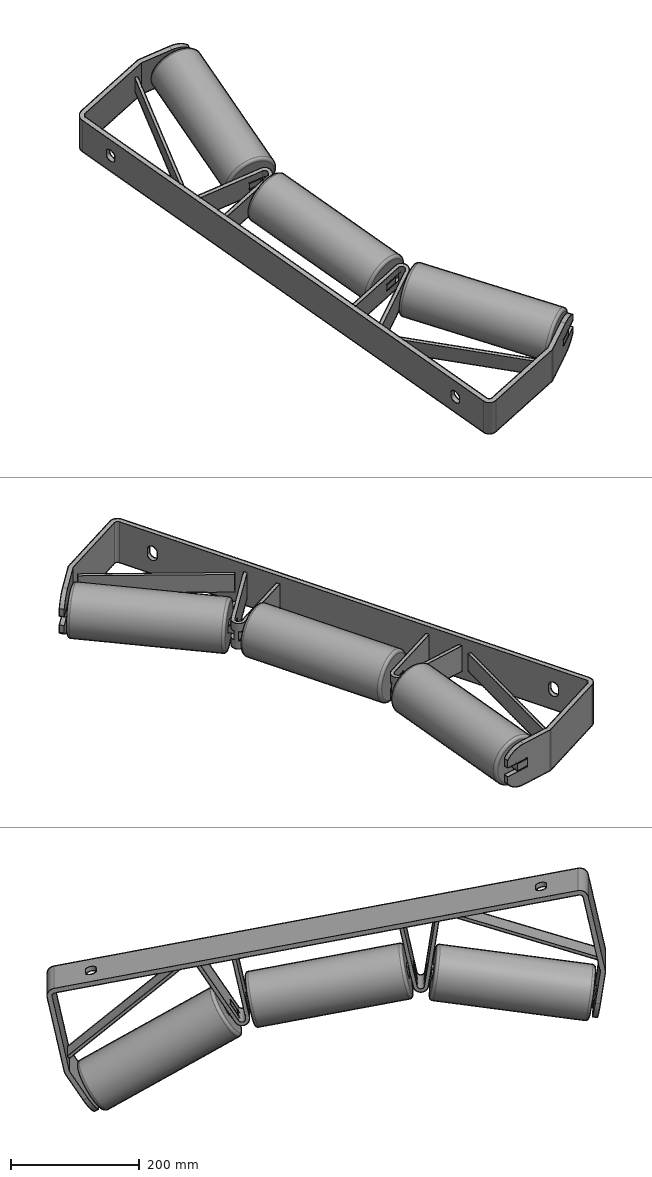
import cadquery as cq
import math


roller_length = 250.0
roller_diameter = 89.0
roller_edge_fillet = 5.0
roller_gap = 5.0
center_roller_y = 101.0
wing_roller_x = 280.0
wing_roller_y = 154.0
wing_tilt = 20.0

shaft_diameter = 21.0
shaft_flat_width = 14.0
shaft_shoulder = 3.0
slot_width = 17.0

overall_length = 860.0
strip_width = 80.0
strip_thickness = 8.0
base_bend_radius = 14.0
wing_bend_radius = 9.0
wing_plate_reach = 30.0
wing_arc_drop = 3.0

bracket_width = 50.0
bracket_thickness = 6.0
bracket_bend_radius = 12.0

brace_width = 34.0
brace_thickness = 5.0
brace_angle = 30.0
brace_top_y = 130.0
brace_weld_depth = 0.4

mount_slot_spacing = 715.5
mount_slot_width = 17.0
mount_slot_length = 27.5

half_length = overall_length / 2
half_roller = roller_length / 2
roller_radius = roller_diameter / 2
plate_face = half_roller + roller_gap
upright_inner_x = -half_length + strip_thickness
cutter_length = roller_diameter

tilt_angle = math.radians(wing_tilt)
tilt_sin = math.sin(tilt_angle)
tilt_cos = math.cos(tilt_angle)
tilt_tan = math.tan(tilt_angle)

LEFT = -1
RIGHT = 1


def on_center_axis(shape):
    """Move a shape built along X at the origin to the center roller's place."""
    return shape.translate((0, center_roller_y, 0))


def on_left_wing_axis(shape):
    """Move a shape built along X at the origin to the left wing roller's place."""
    tilted = shape.rotate((0, 0, 0), (0, 0, 1), -wing_tilt)
    return tilted.translate((-wing_roller_x, wing_roller_y, 0))


def mirrored(shape):
    return shape.mirror("YZ")


def on_plate(side):
    """Workplane square to the roller axis, on the roller's side of the plate that carries it."""
    return cq.Workplane("YZ", origin=(side * plate_face, 0, 0))



def make_roller(left_plate, right_plate):
    """Roller and shaft along X; the shaft ends flush with the far sides of its two plates."""
    shell = cq.Workplane("YZ", origin=(-half_roller, 0, 0)).circle(roller_radius).extrude(roller_length)
    shell = shell.edges().fillet(roller_edge_fillet)

    shoulder_x = half_roller + shaft_shoulder
    journal = cq.Workplane("YZ", origin=(-shoulder_x, 0, 0)).circle(shaft_diameter / 2)
    journal = journal.extrude(2 * shoulder_x)

    left_end = -plate_face - left_plate
    right_end = plate_face + right_plate
    flats = cq.Workplane("YZ", origin=(left_end, 0, 0)).rect(shaft_diameter, shaft_flat_width)
    flats = flats.extrude(right_end - left_end)
    return shell.union(journal).union(flats)



def make_strip_half():
    """Left half of the base, with its upright and the wing plate square to the wing roller axis."""
    outer_face = plate_face + strip_thickness
    axis_x = -wing_roller_x - outer_face * tilt_cos
    axis_y = wing_roller_y + outer_face * tilt_sin
    outer_bend_y = axis_y - (axis_x + half_length) / tilt_tan
    inner_bend_y = outer_bend_y - strip_thickness * math.tan(tilt_angle / 2)
    tip_x = axis_x + wing_plate_reach * tilt_sin
    tip_y = axis_y + wing_plate_reach * tilt_cos

    half = (
        cq.Workplane("XY", origin=(0, 0, -strip_width / 2))
        .moveTo(0, 0)
        .lineTo(-half_length, 0)
        .lineTo(-half_length, outer_bend_y)
        .lineTo(tip_x, tip_y)
        .lineTo(tip_x + strip_thickness * tilt_cos, tip_y - strip_thickness * tilt_sin)
        .lineTo(upright_inner_x, inner_bend_y)
        .lineTo(upright_inner_x, strip_thickness)
        .lineTo(0, strip_thickness)
        .close()
        .extrude(strip_width)
    )
    half = round_corner(half, -half_length, 0, base_bend_radius)
    half = round_corner(half, upright_inner_x, strip_thickness, base_bend_radius - strip_thickness)
    half = round_corner(half, -half_length, outer_bend_y, wing_bend_radius)
    return half.cut(wing_end_trim())


def round_corner(body, x, y, radius):
    """Fillet the Z-parallel edge at (x, y)."""
    edge = body.edges("|Z").edges(cq.selectors.NearestToPointSelector((x, y, 0)))
    return edge.fillet(radius)


def wing_end_trim():
    """What lies outside the rounded end of the left wing plate."""
    depth = LEFT * strip_thickness
    above = on_plate(LEFT).center(cutter_length / 2 - wing_arc_drop, 0)
    above = above.rect(cutter_length, cutter_length).extrude(depth)
    disc = on_plate(LEFT).center(-wing_arc_drop, 0).circle(strip_width / 2).extrude(depth)
    return on_left_wing_axis(above.cut(disc))


def make_left_bracket():
    """Bent strip with a level-roller leg, square to X, and a leg square to the wing roller axis."""
    inner_radius = bracket_bend_radius - bracket_thickness
    leg_x = -plate_face
    face_x = -wing_roller_x + plate_face * tilt_cos
    face_y = wing_roller_y - plate_face * tilt_sin
    foot_x = face_x - (face_y - strip_thickness) * tilt_tan

    bend_x = leg_x - bracket_bend_radius
    bend_y = face_y + ((bend_x - face_x) * tilt_cos - bracket_bend_radius) / tilt_sin

    def on_bend(radius, degrees):
        angle = math.radians(degrees)
        return bend_x + radius * math.cos(angle), bend_y + radius * math.sin(angle)

    bend_end = 180 - wing_tilt
    return (
        cq.Workplane("XY", origin=(0, 0, -bracket_width / 2))
        .moveTo(leg_x, strip_thickness)
        .lineTo(*on_bend(bracket_bend_radius, 0))
        .threePointArc(on_bend(bracket_bend_radius, bend_end / 2), on_bend(bracket_bend_radius, bend_end))
        .lineTo(foot_x, strip_thickness)
        .lineTo(foot_x + bracket_thickness / tilt_cos, strip_thickness)
        .lineTo(*on_bend(inner_radius, bend_end))
        .threePointArc(on_bend(inner_radius, bend_end / 2), on_bend(inner_radius, 0))
        .lineTo(leg_x - bracket_thickness, strip_thickness)
        .close()
        .extrude(bracket_width)
    )


def make_left_brace():
    """Square-ended flat bar, welded to the upright and the base along its lower corners."""
    lower_edge = (brace_top_y - strip_thickness) / math.sin(math.radians(brace_angle))
    brace = cq.Workplane("XY").box(
        lower_edge + 2 * brace_weld_depth, brace_thickness, brace_width, centered=(False, False, True)
    )
    brace = brace.translate((-brace_weld_depth, 0, 0))
    brace = brace.rotate((0, 0, 0), (0, 0, 1), -brace_angle)
    return brace.translate((upright_inner_x, brace_top_y, 0))


def shaft_slot(side, thickness):
    """Slot through one plate, open toward +Y, with the shaft resting on its floor."""
    slot = on_plate(side).center((cutter_length - shaft_diameter) / 2, 0)
    return slot.rect(cutter_length, slot_width).extrude(side * thickness)


def mount_slot():
    profile = cq.Workplane("XZ").center(-mount_slot_spacing / 2, 0)
    return profile.slot2D(mount_slot_length, mount_slot_width, 90).extrude(-strip_thickness)


def make_frame():
    half = make_strip_half().union(make_left_bracket()).union(make_left_brace())
    half = half.cut(on_left_wing_axis(shaft_slot(LEFT, strip_thickness)))
    half = half.cut(on_left_wing_axis(shaft_slot(RIGHT, bracket_thickness)))
    half = half.cut(on_center_axis(shaft_slot(LEFT, bracket_thickness)))
    half = half.cut(mount_slot())
    return half.union(mirrored(half))



frame = make_frame()
center_roller = on_center_axis(make_roller(bracket_thickness, bracket_thickness))
left_wing_roller = on_left_wing_axis(make_roller(strip_thickness, bracket_thickness))
wing_rollers = [left_wing_roller, mirrored(left_wing_roller)]

result = cq.Compound.makeCompound([
    frame.solids().val(),
    center_roller.solids().val(),
    *[roller.solids().val() for roller in wing_rollers],
])